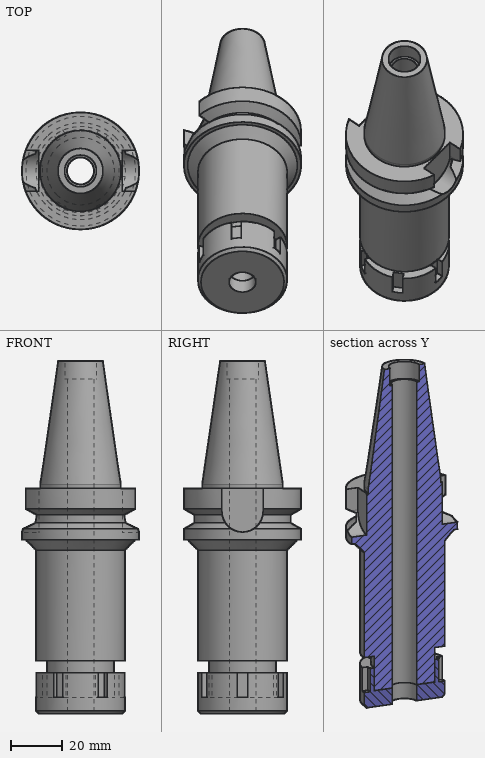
import cadquery as cq
import math

GAUGE_RADIUS = 31.75 / 2
TAPER_LENGTH = 48.4
TAPER_RATIO = 7 / 24
TAPER_TIP_RADIUS = GAUGE_RADIUS - TAPER_LENGTH * TAPER_RATIO / 2

FLANGE_RADIUS = 46 / 2
FLANGE_TOP = -1.6
FLANGE_BOTTOM = -21.8
GROOVE_CENTRE = -13.55
GROOVE_MOUTH = 7.8
GROOVE_FLOOR_RADIUS = 19.0
GROOVE_FLANK_ANGLE = 30
GROOVE_FLANK_HEIGHT = (FLANGE_RADIUS - GROOVE_FLOOR_RADIUS) * math.tan(math.radians(GROOVE_FLANK_ANGLE))
GROOVE_FLOOR = GROOVE_MOUTH - 2 * GROOVE_FLANK_HEIGHT

NOTCH_WIDTH = 16.1
NOTCH_FACE_X = 16.4
NOTCH_BOTTOM = -18.7

BODY_RADIUS = 35 / 2
SHOULDER_HEIGHT = 4.0
BODY_BOTTOM = -69.2
NECK_RADIUS = 13.2

BORE_RADIUS = 10.5 / 2
COUNTERBORE_RADIUS = 12.5 / 2
COUNTERBORE_DEPTH = 7.0

NUT_RADIUS = BODY_RADIUS
NUT_TOP = -73.8
NUT_BOTTOM = -90.0
NUT_CHAMFER = 1.2
SLOT_COUNT = 6
SLOT_WIDTH = 4.0
SLOT_HEIGHT = 9.6
SLOT_FLOOR_RADIUS = 15.0
SPIGOT_BOTTOM = NUT_TOP - SLOT_HEIGHT


def cylinder(radius, bottom, top):
    return cq.Workplane("XY").workplane(offset=bottom).circle(radius).extrude(top - bottom)


def make_drive_notch(side):
    """Cutter for a notch open at the flange top, with a round lower end."""
    half_width = NOTCH_WIDTH / 2
    arc_centre = NOTCH_BOTTOM + half_width
    cutter = (
        cq.Workplane("YZ")
        .workplane(offset=side * NOTCH_FACE_X)
        .moveTo(-half_width, FLANGE_TOP)
        .lineTo(-half_width, arc_centre)
        .threePointArc((0, NOTCH_BOTTOM), (half_width, arc_centre))
        .lineTo(half_width, FLANGE_TOP)
        .close()
        .extrude(side * FLANGE_RADIUS)
    )
    return cutter


def make_holder():
    """Turned taper, flange, body and spigot, with drive notches and bore."""
    profile = [
        (0, TAPER_LENGTH),
        (TAPER_TIP_RADIUS, TAPER_LENGTH),
        (GAUGE_RADIUS, 0),
        (GAUGE_RADIUS, FLANGE_TOP),
        (FLANGE_RADIUS, FLANGE_TOP),
        (FLANGE_RADIUS, GROOVE_CENTRE + GROOVE_MOUTH / 2),
        (GROOVE_FLOOR_RADIUS, GROOVE_CENTRE + GROOVE_FLOOR / 2),
        (GROOVE_FLOOR_RADIUS, GROOVE_CENTRE - GROOVE_FLOOR / 2),
        (FLANGE_RADIUS, GROOVE_CENTRE - GROOVE_MOUTH / 2),
        (FLANGE_RADIUS, FLANGE_BOTTOM),
        (BODY_RADIUS + SHOULDER_HEIGHT, FLANGE_BOTTOM),
        (BODY_RADIUS, FLANGE_BOTTOM - SHOULDER_HEIGHT),
        (BODY_RADIUS, BODY_BOTTOM),
        (NECK_RADIUS, BODY_BOTTOM),
        (NECK_RADIUS, SPIGOT_BOTTOM),
        (0, SPIGOT_BOTTOM),
    ]
    holder = cq.Workplane("YZ").polyline(profile).close().revolve(360, (0, 0), (0, 1))
    for side in (-1, 1):
        holder = holder.cut(make_drive_notch(side))
    holder = holder.cut(cylinder(BORE_RADIUS, SPIGOT_BOTTOM, TAPER_LENGTH))
    holder = holder.cut(cylinder(COUNTERBORE_RADIUS, TAPER_LENGTH - COUNTERBORE_DEPTH, TAPER_LENGTH))
    return holder


def make_nut():
    """Round nut with a socket for the spigot and wrench slots in its rim."""
    nut = cylinder(NUT_RADIUS, NUT_BOTTOM, NUT_TOP).faces("<Z").chamfer(NUT_CHAMFER)
    nut = nut.cut(cylinder(NECK_RADIUS, SPIGOT_BOTTOM, NUT_TOP))
    nut = nut.cut(cylinder(BORE_RADIUS, NUT_BOTTOM, NUT_TOP))
    slot = (
        cq.Workplane("XY")
        .box(NUT_RADIUS, SLOT_WIDTH, SLOT_HEIGHT, centered=(False, True, False))
        .translate((SLOT_FLOOR_RADIUS, 0, NUT_TOP - SLOT_HEIGHT))
    )
    for index in range(SLOT_COUNT):
        angle = index * 360 / SLOT_COUNT
        nut = nut.cut(slot.rotate((0, 0, 0), (0, 0, 1), angle))
    return nut


holder = make_holder()
nut = make_nut()

result = cq.Compound.makeCompound([holder.val(), nut.val()])